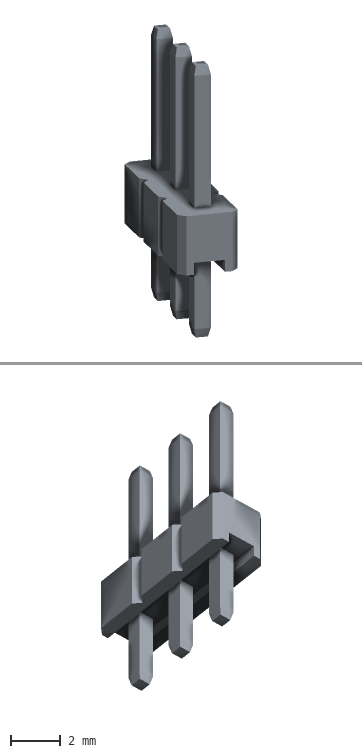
import cadquery as cq


cell_count = 3
pitch = 2.54

block_width = pitch
block_height = 2.51
corner_chamfer = 0.3
channel_width = 1.32
channel_depth = 0.51

pin_length = 11.5
pin_width = 0.7
pin_below_block = 3.0
tip_width = 0.52
tip_height = 0.39
pin_bottom = -pin_below_block
pin_top = pin_bottom + pin_length


def make_block():
    """Square block with chamfered vertical edges and a channel along X in its underside."""
    block = (
        cq.Workplane("XY")
        .rect(block_width, block_width)
        .extrude(block_height)
        .edges("|Z")
        .chamfer(corner_chamfer)
    )
    channel = cq.Workplane("XY").rect(block_width, channel_width).extrude(channel_depth)
    return block.cut(channel)


def make_tip(base_z, end_z):
    """Square taper that narrows from the pin shank at base_z to the pin end at end_z."""
    return (
        cq.Workplane("XY", origin=(0, 0, base_z))
        .rect(pin_width, pin_width)
        .workplane(offset=end_z - base_z)
        .rect(tip_width, tip_width)
        .loft(ruled=True)
    )


def make_pin():
    """Square pin with a tapered tip at each end."""
    shank_bottom = pin_bottom + tip_height
    shank_top = pin_top - tip_height
    shank = (
        cq.Workplane("XY", origin=(0, 0, shank_bottom))
        .rect(pin_width, pin_width)
        .extrude(shank_top - shank_bottom)
    )
    lower_tip = make_tip(shank_bottom, pin_bottom)
    upper_tip = make_tip(shank_top, pin_top)
    return shank.union(lower_tip).union(upper_tip)


def make_header_cell(center_x):
    """One block with its pin, centred at center_x."""
    return make_block().union(make_pin()).translate((center_x, 0, 0))


first_cell_x = -pitch * (cell_count - 1) / 2
header_cells = []
for index in range(cell_count):
    cell = make_header_cell(first_cell_x + index * pitch)
    header_cells.append(cell.val())

result = cq.Compound.makeCompound(header_cells)